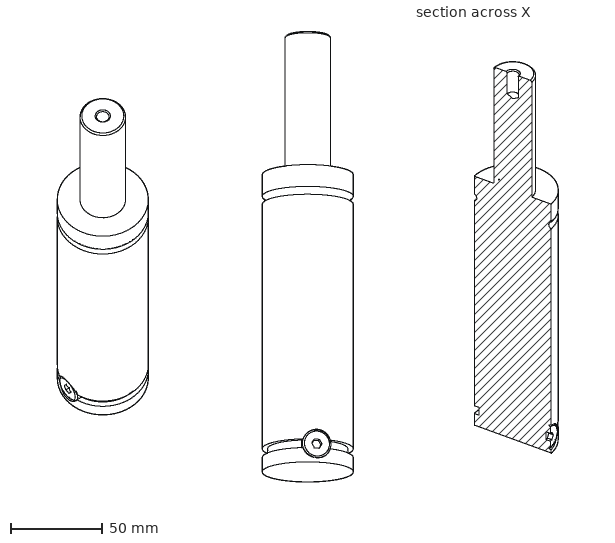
import cadquery as cq

total_height = 245.0
body_diameter = 50.0
body_height = 167.0
rod_diameter = 25.0
rod_edge_chamfer = 1.0

head_height = 12.2
head_groove_width = 4.5
head_groove_depth = 1.5

base_flange_height = 8.0
base_groove_width = 5.0
base_groove_depth = 3.0

rod_hole_diameter = 6.9
rod_hole_mouth_diameter = 8.3
rod_hole_depth = 14.7
drill_point_height = 2.0

plug_diameter = 16.0
plug_face_diameter = 14.0
plug_height = 10.5
plug_face_recess = 0.5
plug_length = 8.8
hex_width = 5.0
hex_depth = 3.0

body_radius = body_diameter / 2
rod_radius = rod_diameter / 2


def make_body_and_rod():
    """Revolve the stepped outline, including both body grooves."""
    base_groove_top = base_flange_height + base_groove_width
    base_groove_radius = body_radius - base_groove_depth
    head_bottom = body_height - head_height
    head_groove_middle = head_bottom - head_groove_width / 2
    return (
        cq.Workplane("XZ")
        .lineTo(body_radius, 0)
        .lineTo(body_radius, base_flange_height)
        .lineTo(base_groove_radius, base_flange_height)
        .lineTo(base_groove_radius, base_groove_top)
        .lineTo(body_radius, base_groove_top)
        .lineTo(body_radius, head_bottom - head_groove_width)
        .threePointArc(
            (body_radius - head_groove_depth, head_groove_middle),
            (body_radius, head_bottom),
        )
        .lineTo(body_radius, body_height)
        .lineTo(rod_radius, body_height)
        .lineTo(rod_radius, total_height - rod_edge_chamfer)
        .lineTo(rod_radius - rod_edge_chamfer, total_height)
        .lineTo(0, total_height)
        .close()
        .revolve(360, (0, 0, 0), (0, 1, 0))
    )


def make_rod_hole():
    """Drilled hole with a 45 degree countersunk mouth and a conical bottom."""
    hole_radius = rod_hole_diameter / 2
    mouth_radius = rod_hole_mouth_diameter / 2
    countersink_depth = mouth_radius - hole_radius
    hole_bottom = total_height - rod_hole_depth
    return (
        cq.Workplane("XZ")
        .moveTo(0, total_height)
        .lineTo(mouth_radius, total_height)
        .lineTo(hole_radius, total_height - countersink_depth)
        .lineTo(hole_radius, hole_bottom)
        .lineTo(0, hole_bottom - drill_point_height)
        .close()
        .revolve(360, (0, 0, 0), (0, 1, 0))
    )


def add_plug(part):
    """Set a chamfered plug with a hexagon socket just below the mouth of a bore in the body."""
    face_chamfer = (plug_diameter - plug_face_diameter) / 2
    face_plane = cq.Workplane("XZ", origin=(0, -body_radius + plug_face_recess, plug_height))
    plug_blank = face_plane.circle(plug_diameter / 2).extrude(-plug_length)
    bore_mouth = face_plane.circle(plug_diameter / 2).extrude(plug_face_recess)
    plug = plug_blank.faces("<Y").chamfer(face_chamfer)
    socket = (
        face_plane.transformed(rotate=(0, 0, 90))
        .polygon(6, hex_width, circumscribed=True)
        .extrude(-hex_depth)
    )
    return part.cut(bore_mouth).cut(plug_blank).union(plug).cut(socket)


result = add_plug(make_body_and_rod().cut(make_rod_hole()))